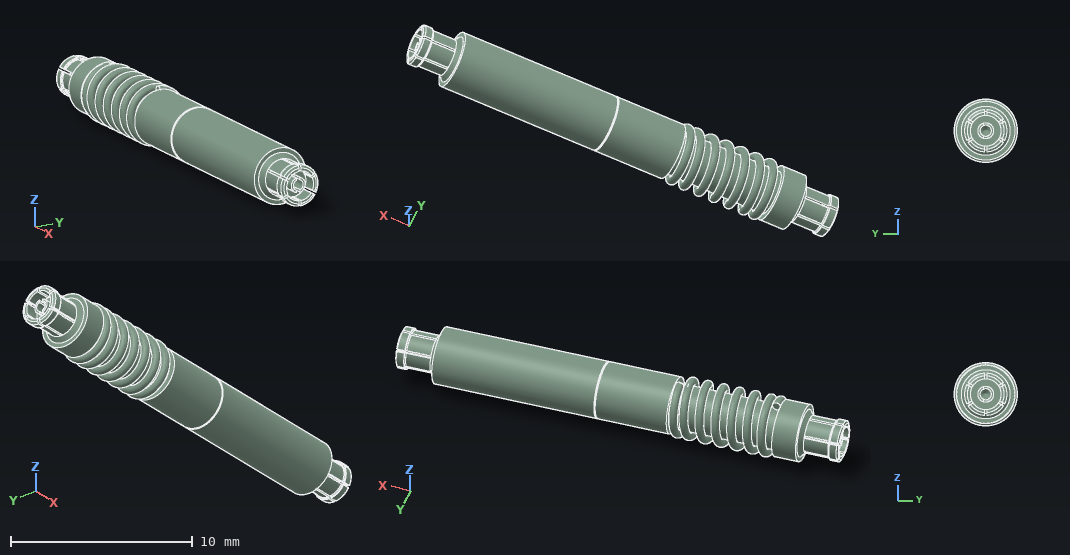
import cadquery as cq

total_length = 25.65

barrel_diameter = 3.23
waist_diameter = 2.51
head_end = 3.67
sleeve_start = 9.77
joint_position = 13.93
joint_chamfer = 0.038

rim_diameter = 2.33
rim_length = 0.51
lead_in_length = 0.08
lead_in_height = 0.15
foot_length = 0.08
foot_height = 0.03
neck_diameter = 2.13
shoulder_distance = 2.28
cone_size = 0.28
bore_diameter = 1.7
bore_depth = 0.87
slot_count = 6
slot_width = 0.13

wire_diameter = 0.5
spring_diameter = 3.5
end_pitch = 0.51
active_turns = 5

contact_diameter = 0.87
contact_recess = 0.2
socket_diameter = 0.62
socket_depth = 1.03
socket_cone_depth = 0.3
contact_slot_width = 0.23
contact_slot_depth = bore_depth - contact_recess

barrel_radius = barrel_diameter / 2
rim_radius = rim_diameter / 2
neck_radius = neck_diameter / 2
neck_end = shoulder_distance - cone_size
rear_shoulder = total_length - shoulder_distance


def cylinder(diameter, start, end):
    return cq.Workplane("YZ", origin=(start, 0, 0)).circle(diameter / 2).extrude(end - start)


def revolved(outline):
    """Turn a closed XY outline about the X axis."""
    return outline.revolve(360, (0, 0, 0), (1, 0, 0))


def at_other_end(body):
    """Mirror a shape to the opposite end of the adapter."""
    return body.mirror("YZ", (total_length / 2, 0, 0))


def connector_blank():
    """Rim, neck and cone from the mouth at X = 0 to the shoulder."""
    return revolved(
        cq.Workplane("XY")
        .lineTo(0, rim_radius - lead_in_height)
        .lineTo(lead_in_length, rim_radius)
        .lineTo(rim_length, rim_radius)
        .lineTo(rim_length, neck_radius + foot_height)
        .lineTo(rim_length + foot_length, neck_radius)
        .lineTo(neck_end, neck_radius)
        .lineTo(shoulder_distance, neck_radius + cone_size)
        .lineTo(shoulder_distance, 0)
        .close()
    )


def finger_slots():
    """Radial slots that divide the connector wall into spring fingers."""
    slots = cq.Workplane("XY")
    slot = cq.Workplane("XY").box(neck_end, slot_width, rim_diameter, centered=(False, True, False))
    for index in range(slot_count):
        slots = slots.add(slot.rotate((0, 0, 0), (1, 0, 0), index * 360 / slot_count))
    return slots.combine().cut(cylinder(bore_diameter, 0, neck_end))


def connector():
    return connector_blank().cut(cylinder(bore_diameter, 0, bore_depth)).cut(finger_slots())


def front_housing():
    """Front connector, head, spring waist and sleeve."""
    head = cylinder(barrel_diameter, shoulder_distance, head_end)
    waist = cylinder(waist_diameter, head_end, sleeve_start)
    sleeve = cylinder(barrel_diameter, sleeve_start, joint_position).faces(">X").chamfer(joint_chamfer)
    body = connector().union(head).union(waist).union(sleeve)
    return body.cut(cylinder(contact_diameter, 0, joint_position))


def rear_housing():
    """Plain barrel with the rear connector."""
    barrel = cylinder(barrel_diameter, joint_position, rear_shoulder).faces("<X").chamfer(joint_chamfer)
    body = barrel.union(at_other_end(connector()))
    return body.cut(cylinder(contact_diameter, joint_position, total_length))


def coil(start, pitch, turns):
    """Right-handed coil that begins at the +Z side of the axis at X = start."""
    coil_radius = (spring_diameter - wire_diameter) / 2
    path = cq.Wire.makeHelix(pitch, pitch * turns, coil_radius)
    section = cq.Workplane("XZ").center(coil_radius, 0).circle(wire_diameter / 2)
    plane = cq.Plane(origin=(start, 0, 0), xDir=(0, 0, 1), normal=(1, 0, 0))
    return section.sweep(cq.Workplane(path), isFrenet=True).val().moved(plane.location)


def spring():
    """Compression spring with a closed turn at each end, between head and sleeve."""
    first = head_end + wire_diameter / 2
    last = sleeve_start - wire_diameter / 2
    active_pitch = (last - first - 2 * end_pitch) / active_turns
    front_turn = coil(first, end_pitch, 1)
    middle = coil(first + end_pitch, active_pitch, active_turns)
    rear_turn = coil(last - end_pitch, end_pitch, 1)
    return cq.Workplane(front_turn).union(cq.Workplane(middle)).union(cq.Workplane(rear_turn))


def contact_socket():
    """Split socket in the front tip of the contact."""
    socket_end = contact_recess + socket_depth
    hole = revolved(
        cq.Workplane("XY")
        .moveTo(contact_recess, 0)
        .lineTo(contact_recess, socket_diameter / 2)
        .lineTo(socket_end, socket_diameter / 2)
        .lineTo(socket_end + socket_cone_depth, 0)
        .close()
    )
    slot = cq.Workplane("XY").box(
        contact_slot_depth, contact_slot_width, contact_diameter, centered=(False, True, True)
    )
    return hole.union(slot.translate((contact_recess, 0, 0)))


def centre_contact():
    rod = cylinder(contact_diameter, contact_recess, total_length - contact_recess)
    socket = contact_socket()
    return rod.cut(socket).cut(at_other_end(socket))


result = cq.Compound.makeCompound(
    [front_housing().val(), rear_housing().val(), spring().val(), centre_contact().val()]
)